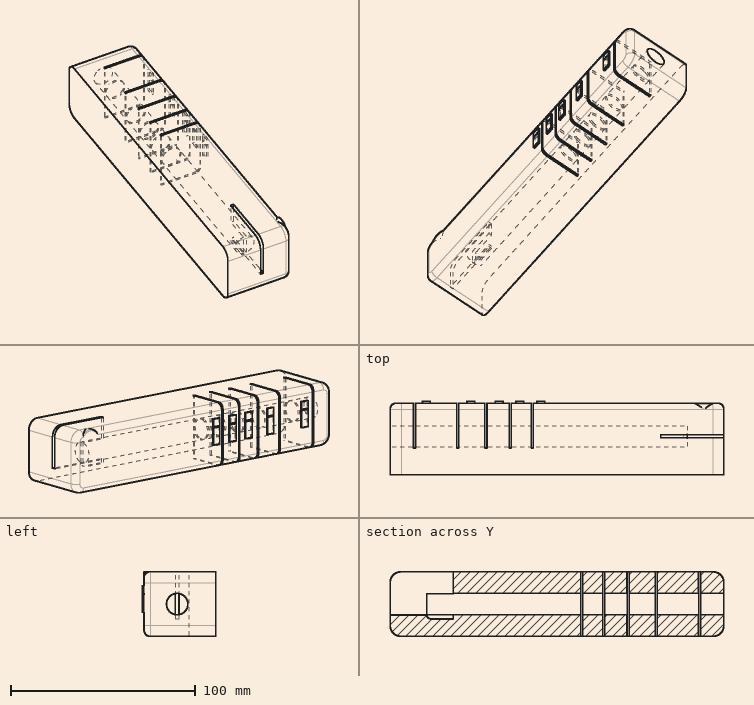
import cadquery as cq

length = 180.6
height = 35.0
overall_depth = 40.0
mark_height = 1.0
body_depth = overall_depth - mark_height
corner_radius = 6.0
back_edge_radius = 3.5

bore_radius = 5.8
bore_y = 21.0
bore_z = height / 2

slot_width = 1.8
slot_start_x = 146.5
step_x = 160.7
step_radius = 2.2
slot_floor_z = bore_z - bore_radius
deep_floor_z = slot_floor_z - step_radius

slit_width = 1.0
slit_depth = 24.2
slit_positions = [13.2, 36.7, 51.8, 65.0, 77.0]
mark_positions = [19.7, 43.7, 59.0, 70.3, 81.6]
mark_width = 4.3
mark_spans = [(13.0, 22.5), (23.1, 27.5)]

boss_radius = 6.3
boss_x = 169.8
boss_z = height - boss_radius
boss_depth = 2 * back_edge_radius
boss_edge_radius = 0.5


def block(x_range, y_range, z_range):
    """Box spanning the given (low, high) limits on each axis."""
    limits = (x_range, y_range, z_range)
    size = [high - low for low, high in limits]
    corner = cq.Vector(*[low for low, high in limits])
    return cq.Workplane(obj=cq.Solid.makeBox(*size, corner))


def make_body():
    bar = block((0, length), (0, body_depth), (0, height))
    bar = bar.edges("|Y").fillet(corner_radius)
    return bar.faces(">Y").edges().fillet(back_edge_radius)


def make_boss():
    start = cq.Vector(boss_x, body_depth - boss_depth, boss_z)
    disc = cq.Workplane(obj=cq.Solid.makeCylinder(boss_radius, boss_depth, start, cq.Vector(0, 1, 0)))
    return disc.faces(">Y").edges().fillet(boss_edge_radius)


def make_bore():
    start = cq.Vector(0, bore_y, bore_z)
    return cq.Workplane(obj=cq.Solid.makeCylinder(bore_radius, step_x, start, cq.Vector(1, 0, 0)))


def make_end_slot():
    """Slot whose inner floor is deeper and rises to the outer floor in a concave quarter round."""
    curve_mid = step_radius * 0.5 ** 0.5
    curve_center_x = step_x - step_radius
    profile = (
        cq.Workplane("XZ", origin=(0, bore_y, 0))
        .moveTo(slot_start_x, height)
        .lineTo(slot_start_x, deep_floor_z)
        .lineTo(curve_center_x, deep_floor_z)
        .threePointArc((curve_center_x + curve_mid, slot_floor_z - curve_mid), (step_x, slot_floor_z))
        .lineTo(length, slot_floor_z)
        .lineTo(length, height)
        .close()
    )
    return profile.extrude(slot_width / 2, both=True)


def make_slit(center_x):
    half = slit_width / 2
    return block((center_x - half, center_x + half), (body_depth - slit_depth, body_depth), (0, height))


def make_mark(center_x, z_range):
    """Raised pad, rooted inside the body so that it fuses with the +Y face."""
    half = mark_width / 2
    y_range = (body_depth - mark_height, overall_depth)
    return block((center_x - half, center_x + half), y_range, z_range)


result = make_body().union(make_boss())
result = result.cut(make_bore()).cut(make_end_slot())
for slit_x in slit_positions:
    result = result.cut(make_slit(slit_x))
for mark_x in mark_positions:
    for mark_span in mark_spans:
        result = result.union(make_mark(mark_x, mark_span))